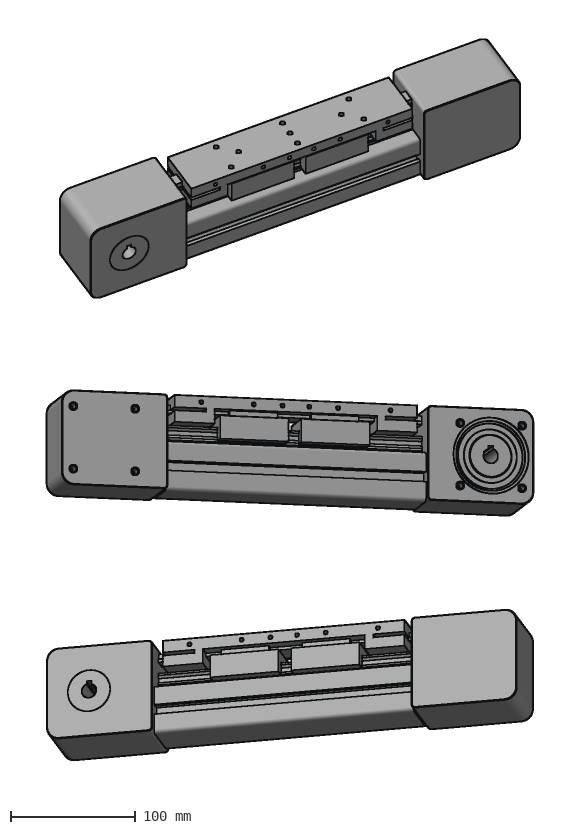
import cadquery as cq
import math


axis_length = 389.0
housing_width = 54.0
housing_length = 87.2
housing_height = 77.0
outer_corner_radius = 10.0
inner_corner_radius = 3.0
housing_chamfer = 0.6
screw_spacing = 51.0
screw_inset = 9.5
screw_depth = 12.0
screw_diameter = 4.92
screw_sink_diameter = 6.5
screw_sink_depth = 1.0
drill_tip_angle = 118.0
housing_face_y = axis_length / 2 - housing_length

drive_y = -(axis_length / 2 - screw_inset - screw_spacing / 2)
drive_z = housing_height / 2
seat_diameter = 62.0
seat_depth = 1.4
ring_diameter = 57.0
ring_depth = 2.7
race_outer_diameter = 53.36
race_inner_diameter = 43.64
race_depth = 4.2
hub_bore_diameter = 35.1
hub_diameter = 35.0
hub_recess = 2.0
hub_chamfer = 0.6
shaft_bore_diameter = 12.0
keyway_width = 4.0
keyway_top = 8.3

beam_width = 41.0
beam_height = 40.3
beam_corner_radius = 3.0
slot_bottom = 16.1
slot_top = 24.2
slot_lip = 3.5
slot_undercut = 3.0
slot_cavity_depth = 5.0
slot_depth = 8.0

rail_base_half = 7.1
rail_half = 7.5
rail_waist_half = 6.0
rail_step_z = 43.4
rail_shoulder_z = 45.4
rail_flank_z = 47.7
rail_waist_z = 51.3
rail_head_z = 53.5
rail_top_z = 55.2

carriage_length = 200.0
carriage_top = 78.0
plate_bottom = 68.0
leg_length = 33.0
leg_bottom = 56.0
clamp_slot_length = 26.0
clamp_slot_bottom = 65.3
pad_width = 20.0

block_spacing = 67.0
block_length = 56.5
block_width = 34.0
block_bottom = 44.6
block_top = 63.5
block_neck_length = 39.4
block_neck_width = 30.0
rail_clearance = 0.25

belt_width = 10.5
belt_lower_width = 12.5
belt_top = 72.3

thread_diameter = 4.13
thread_row_y = 60.0
thread_row_x = 13.0
dowel_diameter = 4.0
dowel_y = 46.5
top_hole_depth = 7.0
side_hole_diameter = 3.24
side_hole_z = 73.0
side_hole_depth = 8.0
side_hole_ys = (11.0, 34.8, 78.0)


def box(size_x, size_y, z_low, z_high, y_mid=0.0):
    """Block centred on X = 0 between two heights."""
    block = cq.Workplane("XY").box(size_x, size_y, z_high - z_low, centered=(True, True, False))
    return block.translate((0, y_mid, z_low))


def cylinder_x(diameter, x_start, length, y, z):
    """Cylinder along +X from x_start."""
    disc = cq.Workplane("YZ", origin=(x_start, y, z)).circle(diameter / 2)
    return disc.extrude(length)


def drilled_hole(diameter, depth, mouth, direction):
    """Blind hole cutter with a conical drill tip, from its mouth along a direction."""
    start = cq.Vector(*mouth)
    axis = cq.Vector(*direction)
    radius = diameter / 2
    tip_length = radius / math.tan(math.radians(drill_tip_angle / 2))
    bore = cq.Solid.makeCylinder(radius, depth, start, axis)
    tip = cq.Solid.makeCone(radius, 0, tip_length, start + axis * depth, axis)
    return cq.Workplane(bore.fuse(tip))


def end_housing(side):
    """Rounded end block; side is +1 for the +Y end and -1 for the -Y end."""
    y_mid = side * (housing_face_y + housing_length / 2)
    outer_face = ">Y" if side > 0 else "<Y"
    inner_face = "<Y" if side > 0 else ">Y"
    body = box(housing_width, housing_length, 0, housing_height, y_mid)
    body = body.faces(outer_face).edges("|X").fillet(outer_corner_radius)
    body = body.faces(inner_face).edges("|X").fillet(inner_corner_radius)
    body = body.faces("<X or >X").edges().chamfer(housing_chamfer)

    face_x = -housing_width / 2
    for y_offset in (screw_inset, screw_inset + screw_spacing):
        y = side * (axis_length / 2 - y_offset)
        for z_offset in (-screw_spacing / 2, screw_spacing / 2):
            z = housing_height / 2 + z_offset
            body = body.cut(drilled_hole(screw_diameter, screw_depth, (face_x, y, z), (1, 0, 0)))
            body = body.cut(cylinder_x(screw_sink_diameter, face_x, screw_sink_depth, y, z))
    return body


def drive_disc(diameter, depth):
    """Disc on the drive axis, sunk from the -X face of the housing."""
    return cylinder_x(diameter, -housing_width / 2, depth, drive_y, drive_z)


def drive_housing():
    """End housing at -Y with the stepped bearing seat and the hub bore."""
    body = end_housing(-1)
    body = body.cut(drive_disc(seat_diameter, seat_depth))
    body = body.cut(drive_disc(ring_diameter, ring_depth))
    race = drive_disc(race_outer_diameter, race_depth)
    race = race.cut(drive_disc(race_inner_diameter, race_depth))
    body = body.cut(race)
    return body.cut(drive_disc(hub_bore_diameter, housing_width))


def drive_hub():
    """Hollow hub with a keyed shaft bore."""
    hub_x = -housing_width / 2 + hub_recess
    hub = cylinder_x(hub_diameter, hub_x, housing_width - hub_recess, drive_y, drive_z)
    hub = hub.faces("<X").chamfer(hub_chamfer)
    hub = hub.cut(cylinder_x(shaft_bore_diameter, hub_x, housing_width, drive_y, drive_z))
    keyway = box(housing_width, keyway_width, drive_z, drive_z + keyway_top, drive_y)
    return hub.cut(keyway)


def rail_points():
    """Half outline of the rail on the +X side, from its base up."""
    return [
        (rail_base_half, beam_height),
        (rail_base_half, rail_step_z),
        (rail_half, rail_step_z),
        (rail_half, rail_shoulder_z),
        (rail_waist_half, rail_flank_z),
        (rail_waist_half, rail_waist_z),
        (rail_half, rail_head_z),
        (rail_half, rail_top_z),
    ]


def t_slot(side, length):
    """Undercut slot with a tapered back, in the -X (-1) or +X (+1) face of the beam."""
    depths_and_heights = [
        (0, slot_top),
        (slot_lip, slot_top),
        (slot_lip, slot_top + slot_undercut),
        (slot_cavity_depth, slot_top + slot_undercut),
        (slot_depth, slot_top),
        (slot_depth, slot_bottom),
        (slot_cavity_depth, slot_bottom - slot_undercut),
        (slot_lip, slot_bottom - slot_undercut),
        (slot_lip, slot_bottom),
        (0, slot_bottom),
    ]
    points = [(side * (beam_width / 2 - depth), z) for depth, z in depths_and_heights]
    return cq.Workplane("XZ").polyline(points).close().extrude(length / 2, both=True)


def beam_with_rail():
    """Slotted beam between the housings with the guide rail on top."""
    length = 2 * housing_face_y
    beam = box(beam_width, length, 0, beam_height).edges("|Y").fillet(beam_corner_radius)
    for side in (-1, 1):
        beam = beam.cut(t_slot(side, length))
    half = rail_points()
    mirrored = [(-x, z) for x, z in reversed(half)]
    rail = cq.Workplane("XZ").polyline(half + mirrored).close().extrude(length / 2, both=True)
    return beam.union(rail)


def carriage():
    """Top plate with end legs, rail blocks and belt ends."""
    body = box(beam_width, carriage_length, plate_bottom, carriage_top)
    body = body.union(box(pad_width, carriage_length - leg_length, clamp_slot_bottom, plate_bottom))
    for side in (-1, 1):
        leg_y = side * (carriage_length - leg_length) / 2
        body = body.union(box(beam_width, leg_length, leg_bottom, plate_bottom, leg_y))
        clamp_y = side * (carriage_length - clamp_slot_length) / 2
        body = body.cut(box(beam_width, clamp_slot_length, clamp_slot_bottom, plate_bottom, clamp_y))

        block_y = side * block_spacing / 2
        body = body.union(box(block_width, block_length, block_bottom, block_top, block_y))
        body = body.union(box(block_neck_width, block_neck_length, block_top, plate_bottom, block_y))

        belt_start = carriage_length / 2 - clamp_slot_length
        belt_length = housing_face_y - belt_start
        belt_y = side * (belt_start + belt_length / 2)
        body = body.union(box(belt_lower_width, belt_length, clamp_slot_bottom, plate_bottom, belt_y))
        body = body.union(box(belt_width, belt_length, plate_bottom, belt_top, belt_y))

    rail_channel_width = 2 * (rail_half + rail_clearance)
    body = body.cut(
        box(rail_channel_width, block_spacing + block_length, block_bottom, rail_top_z + rail_clearance)
    )
    return cut_carriage_holes(body)


def cut_carriage_holes(body):
    """Threaded and dowel holes in the plate top, threaded holes in its long sides."""
    threads = [(x, y) for x in (-thread_row_x, thread_row_x) for y in (-thread_row_y, 0, thread_row_y)]
    threads.append((0, 0))
    dowels = [(0, -dowel_y), (0, dowel_y)]
    for diameter, places in ((thread_diameter, threads), (dowel_diameter, dowels)):
        for x, y in places:
            body = body.cut(drilled_hole(diameter, top_hole_depth, (x, y, carriage_top), (0, 0, -1)))
    for distance in side_hole_ys:
        for y in (-distance, distance):
            for side in (-1, 1):
                mouth = (side * beam_width / 2, y, side_hole_z)
                inward = (-side, 0, 0)
                body = body.cut(drilled_hole(side_hole_diameter, side_hole_depth, mouth, inward))
    return body


result = cq.Compound.makeCompound([
    end_housing(1).val(),
    drive_housing().val(),
    drive_hub().val(),
    beam_with_rail().val(),
    carriage().val(),
])